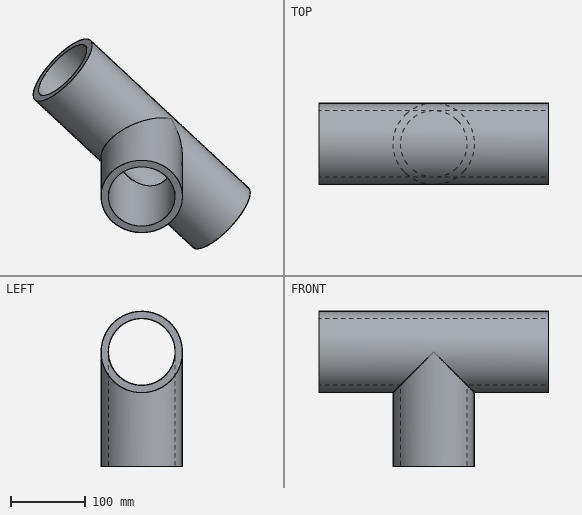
import cadquery as cq

run_length = 310.0
outer_diameter = 110.0
bore_diameter = 90.0
overall_height = 210.0

branch_length = overall_height - outer_diameter / 2


def run_cylinder(diameter):
    """Cylinder along X, centred on the origin."""
    return cq.Workplane("YZ").circle(diameter / 2).extrude(run_length / 2, both=True)


def branch_cylinder(diameter):
    """Cylinder from the run axis down to the open end of the branch."""
    return cq.Workplane("XY").circle(diameter / 2).extrude(-branch_length)


def tee(diameter):
    """Run and branch of equal diameter, joined."""
    return run_cylinder(diameter).union(branch_cylinder(diameter))


result = tee(outer_diameter).cut(tee(bore_diameter))